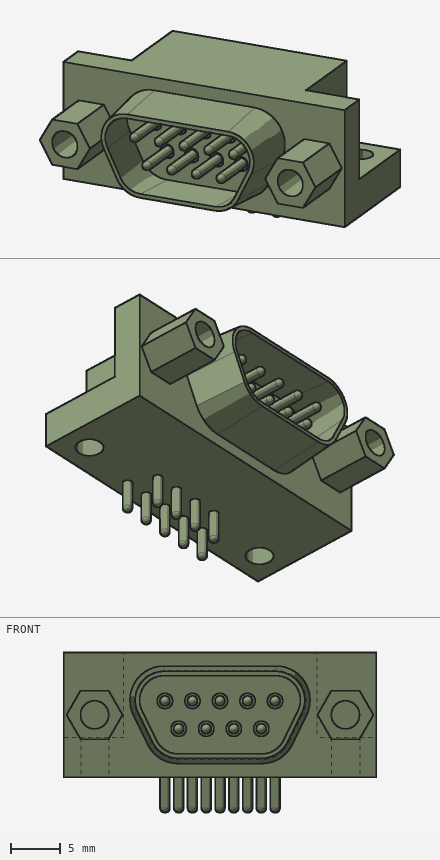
import cadquery as cq
import math


WIDTH = 31.3
BODY_HEIGHT = 12.52
TOTAL_DEPTH = 18.8
BODY_DEPTH = 12.75
FLANGE_THICKNESS = 3.38
LEDGE_WIDTH = 5.95
LEDGE_HEIGHT = 4.0
BODY_BOTTOM = -BODY_HEIGHT / 2

MOUNT_SPACING = 25.1
MOUNT_HOLE_DIAMETER = 2.82
MOUNT_HOLE_FROM_BACK = 3.07
HEX_ACROSS_FLATS = 4.85
HEX_BORE_DIAMETER = 2.82
PROJECTION = TOTAL_DEPTH - BODY_DEPTH

CORNER_HALF_HEIGHT = 1.47
TOP_CORNER_HALF_SPAN = 5.6
BOTTOM_CORNER_HALF_SPAN = 4.15
SHELL_BASE_RADIUS = 3.4
SHELL_TIP_RADIUS = 2.88
SHELL_WALL = 0.45

PIN_DIAMETER = 1.0
PIN_PITCH = 2.75
PIN_ROW_SPACING = 2.8
PIN_LENGTH = 5.0
PIN_RECESS_DIAMETER = 1.53
PIN_RECESS_DEPTH = 0.3
UPPER_PIN_COUNT = 5
LOWER_PIN_COUNT = 4
TAIL_LENGTH = 3.55
REAR_TAIL_FROM_BACK = 1.75
TAIL_ROW_SPACING = 2.85


def front_plane(y):
    """Plane facing -Y at depth y, with local x along X and local y along Z."""
    return cq.Workplane("XZ", origin=(0, y, 0))


def make_body():
    block = cq.Workplane("XY").box(WIDTH, BODY_DEPTH, BODY_HEIGHT).translate((0, BODY_DEPTH / 2, 0))
    notch_depth = BODY_DEPTH - FLANGE_THICKNESS
    notch_height = BODY_HEIGHT - LEDGE_HEIGHT
    for side in (-1, 1):
        notch = cq.Workplane("XY").box(LEDGE_WIDTH, notch_depth, notch_height).translate((
            side * (WIDTH - LEDGE_WIDTH) / 2,
            FLANGE_THICKNESS + notch_depth / 2,
            BODY_BOTTOM + LEDGE_HEIGHT + notch_height / 2,
        ))
        hole = (
            cq.Workplane("XY", origin=(0, 0, BODY_BOTTOM))
            .center(side * MOUNT_SPACING / 2, BODY_DEPTH - MOUNT_HOLE_FROM_BACK)
            .circle(MOUNT_HOLE_DIAMETER / 2)
            .extrude(LEDGE_HEIGHT)
        )
        block = block.cut(notch).cut(hole)
    return block


def make_standoff(x):
    hex_across_corners = HEX_ACROSS_FLATS / math.cos(math.pi / 6)
    return (
        front_plane(0)
        .center(x, 0)
        .polygon(6, hex_across_corners)
        .circle(HEX_BORE_DIAMETER / 2)
        .extrude(PROJECTION)
    )


def d_outline(y, corner_radius):
    """Closed D-shaped wire at depth y."""
    corners = [
        (-TOP_CORNER_HALF_SPAN, CORNER_HALF_HEIGHT),
        (TOP_CORNER_HALF_SPAN, CORNER_HALF_HEIGHT),
        (BOTTOM_CORNER_HALF_SPAN, -CORNER_HALF_HEIGHT),
        (-BOTTOM_CORNER_HALF_SPAN, -CORNER_HALF_HEIGHT),
    ]
    return front_plane(y).polyline(corners).close().offset2D(corner_radius).val()


def tapered_d(inset):
    """Solid that narrows from the flange to the tip, inset from the outside of the shell."""
    base = d_outline(0, SHELL_BASE_RADIUS - inset)
    tip = d_outline(-PROJECTION, SHELL_TIP_RADIUS - inset)
    return cq.Workplane(cq.Solid.makeLoft([base, tip], True))


def make_rod(plane, length):
    """Round rod with a hemispherical end."""
    radius = PIN_DIAMETER / 2
    straight = length - radius
    ball = cq.Workplane(plane).workplane(offset=straight).sphere(radius)
    return cq.Workplane(plane).circle(radius).extrude(straight).union(ball)


def add_contact_row(connector, count, z, tail_y):
    """One row of contacts: a recessed pin at the front and a tail below for each."""
    for index in range(count):
        x = (index - (count - 1) / 2) * PIN_PITCH
        recess = (
            front_plane(PIN_RECESS_DEPTH)
            .center(x, z)
            .circle(PIN_RECESS_DIAMETER / 2)
            .extrude(PIN_RECESS_DEPTH)
        )
        pin_plane = cq.Plane(origin=(x, PIN_RECESS_DEPTH, z), xDir=(1, 0, 0), normal=(0, -1, 0))
        tail_plane = cq.Plane(origin=(x, tail_y, BODY_BOTTOM), xDir=(1, 0, 0), normal=(0, 0, -1))
        pin = make_rod(pin_plane, PIN_LENGTH + PIN_RECESS_DEPTH)
        tail = make_rod(tail_plane, TAIL_LENGTH)
        connector = connector.cut(recess).union(pin).union(tail)
    return connector


result = make_body()
for mount_side in (-1, 1):
    result = result.union(make_standoff(mount_side * MOUNT_SPACING / 2))
result = result.union(tapered_d(0).cut(tapered_d(SHELL_WALL)))

rear_tail_y = BODY_DEPTH - REAR_TAIL_FROM_BACK
result = add_contact_row(result, UPPER_PIN_COUNT, PIN_ROW_SPACING / 2, rear_tail_y)
result = add_contact_row(result, LOWER_PIN_COUNT, -PIN_ROW_SPACING / 2, rear_tail_y - TAIL_ROW_SPACING)